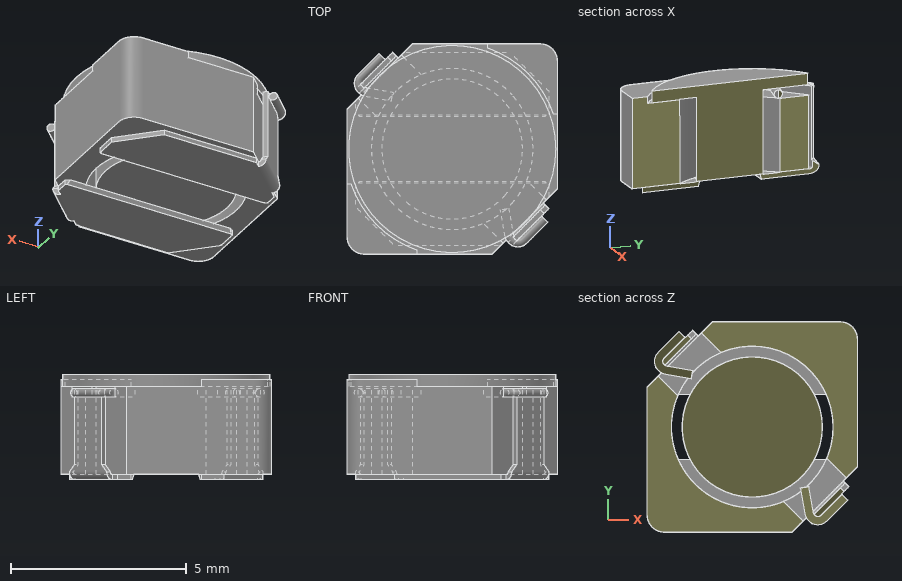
import cadquery as cq
import math

height = 3.0
foot_thickness = 0.15
housing_top = 2.85
disc_seat = 2.65

housing_width = 6.0
flat_to_flat = 5.85
flat_distance = flat_to_flat / 2
corner_radius = 0.5
raised_corner_start = 1.0
raised_corner_bore = 6.1
housing_bore = 4.6

disc_diameter = 5.9
post_diameter = 4.0

wire_diameter = 0.25
wire_bend_radius = 0.225
wire_run_end = 0.45
wire_leg_offset = 0.63
wire_leg_length = 0.04
wire_inner_angle = math.radians(35)
wire_inner_length = 0.75

window_width = 1.74
window_height = 0.3
window_depth = flat_distance - housing_bore / 2 * math.cos(math.asin(window_width / housing_bore))
window_floor = disc_seat - window_height

strip_thickness = 0.15
strip_width = 1.1
strip_base_width = 1.5
strip_taper_height = 0.2
bend_inner_radius = 0.075
bend_outer_radius = bend_inner_radius + strip_thickness
strip_inner = flat_distance + bend_inner_radius
strip_outer = flat_distance + bend_outer_radius
strip_overlap = 0.5
strip_root = flat_distance - strip_overlap
foot_half_width = 2.75
foot_corner_chamfer = 1.1
foot_inner_edge = 0.92
foot_edge_slope = 0.045
foot_nick_width = 0.08
foot_nick_angle = 33

wire_height = window_floor + wire_diameter / 2
strip_top = wire_height + wire_diameter / 2

flat_corner_angle = 45

origin = (0, 0, 0)
z_axis = (0, 0, 1)


def turn(body, angle):
    return body.rotate(origin, z_axis, angle)


def flat_corner_slab(bottom, thickness):
    """Long slab, as wide as the distance between the two flat corners."""
    slab = cq.Workplane("XY", origin=(0, 0, bottom)).rect(2 * housing_width, flat_to_flat).extrude(thickness)
    return turn(slab, flat_corner_angle)


def make_housing():
    body_height = housing_top - foot_thickness
    block = cq.Workplane("XY", origin=(0, 0, foot_thickness)).rect(housing_width, housing_width)
    block = block.extrude(body_height)
    block = block.edges(">(1, 1, 0) or <(1, 1, 0)").fillet(corner_radius)
    block = block.intersect(flat_corner_slab(foot_thickness, body_height))

    block = block.cut(cq.Workplane("XY").circle(housing_bore / 2).extrude(height))

    step = housing_top - disc_seat
    seat = cq.Workplane("XY", origin=(0, 0, disc_seat))
    raised_width = housing_width / 2 - raised_corner_start
    raised_center = raised_corner_start + raised_width / 2
    raised_corners = seat.pushPoints([(raised_center, raised_center), (-raised_center, -raised_center)])
    raised_corners = raised_corners.rect(raised_width, raised_width).extrude(step)
    lowered = seat.rect(housing_width, housing_width).extrude(step).cut(raised_corners)
    lowered = lowered.union(seat.circle(raised_corner_bore / 2).extrude(step))
    block = block.cut(lowered)

    window_center = flat_distance - window_depth / 2
    windows = cq.Workplane("XY", origin=(0, 0, window_floor))
    windows = windows.pushPoints([(0, window_center), (0, -window_center)])
    windows = windows.rect(window_width, window_depth).extrude(window_height)
    return block.cut(turn(windows, flat_corner_angle))


def make_core():
    disc = cq.Workplane("XY", origin=(0, 0, disc_seat)).circle(disc_diameter / 2)
    disc = disc.extrude(height - disc_seat)
    post = cq.Workplane("XY", origin=(0, 0, foot_thickness)).circle(post_diameter / 2)
    return disc.union(post.extrude(disc_seat - foot_thickness))


def make_wire():
    """Lead at the (-X, +Y) corner: along the strip, around its edge and into the window."""
    run_distance = strip_outer + wire_diameter / 2
    bend_x = wire_bend_radius - wire_leg_offset
    outer_bend_y = run_distance - wire_bend_radius
    inner_bend_y = outer_bend_y - wire_leg_length
    half_chord = wire_bend_radius * math.sqrt(0.5)

    def inner_bend_point(angle):
        x = bend_x - wire_bend_radius * math.cos(angle)
        y = inner_bend_y - wire_bend_radius * math.sin(angle)
        return (x, y)

    bend_end_x, bend_end_y = inner_bend_point(wire_inner_angle)
    inner_end = (
        bend_end_x + wire_inner_length * math.sin(wire_inner_angle),
        bend_end_y - wire_inner_length * math.cos(wire_inner_angle),
    )
    path = (
        cq.Workplane("XY", origin=(0, 0, wire_height))
        .moveTo(wire_run_end, run_distance)
        .lineTo(bend_x, run_distance)
        .threePointArc((bend_x - half_chord, outer_bend_y + half_chord), (-wire_leg_offset, outer_bend_y))
        .lineTo(-wire_leg_offset, inner_bend_y)
        .threePointArc(inner_bend_point(wire_inner_angle / 2), (bend_end_x, bend_end_y))
        .lineTo(*inner_end)
    )
    section = cq.Workplane("YZ", origin=(wire_run_end, run_distance, wire_height))
    wire = section.circle(wire_diameter / 2).sweep(path)
    return turn(wire, flat_corner_angle)


def make_foot():
    """Plate under the +Y half of the housing."""
    nick_length = foot_nick_width / math.tan(math.radians(foot_nick_angle))
    nick_y = foot_inner_edge + foot_nick_width
    outline = [
        (-foot_half_width, nick_y),
        (-foot_half_width + nick_length, foot_inner_edge),
        (foot_half_width - nick_length, foot_inner_edge),
        (foot_half_width, nick_y),
        (foot_half_width, foot_half_width - foot_corner_chamfer),
        (foot_half_width - foot_corner_chamfer, foot_half_width),
        (-foot_half_width, foot_half_width),
    ]
    foot = cq.Workplane("XY").polyline(outline).close().extrude(foot_thickness)
    foot = foot.intersect(flat_corner_slab(0, foot_thickness))

    lean = (
        cq.Workplane("YZ", origin=(-foot_half_width, 0, 0))
        .moveTo(foot_inner_edge, foot_thickness)
        .lineTo(foot_inner_edge, 0)
        .lineTo(foot_inner_edge + foot_edge_slope, 0)
        .close()
        .extrude(2 * foot_half_width)
    )
    return foot.cut(lean)


def make_strip():
    """Strip at the (-X, +Y) corner: bent up from the foot and narrowed above the bend."""
    diagonal = math.sqrt(0.5)
    profile = (
        cq.Workplane("YZ", origin=(-strip_base_width / 2, 0, 0))
        .moveTo(strip_root, 0)
        .lineTo(flat_distance, 0)
        .threePointArc(
            (flat_distance + bend_outer_radius * diagonal, bend_outer_radius * (1 - diagonal)),
            (strip_outer, bend_outer_radius),
        )
        .lineTo(strip_outer, strip_top)
        .lineTo(strip_inner, strip_top)
        .lineTo(strip_inner, bend_outer_radius)
        .threePointArc(
            (flat_distance + bend_inner_radius * diagonal, bend_outer_radius - bend_inner_radius * diagonal),
            (flat_distance, foot_thickness),
        )
        .lineTo(strip_root, foot_thickness)
        .close()
        .extrude(strip_base_width)
    )
    taper_top = bend_outer_radius + strip_taper_height
    outline = [
        (-strip_base_width / 2, 0),
        (strip_base_width / 2, 0),
        (strip_base_width / 2, bend_outer_radius),
        (strip_width / 2, taper_top),
        (strip_width / 2, strip_top),
        (-strip_width / 2, strip_top),
        (-strip_width / 2, taper_top),
        (-strip_base_width / 2, bend_outer_radius),
    ]
    face = cq.Workplane("XZ", origin=(0, strip_outer, 0)).polyline(outline).close()
    return turn(profile.intersect(face.extrude(strip_outer)), flat_corner_angle)


housing = make_housing()
core = make_core()

wire = make_wire()
wires = [wire, turn(turn(wire, -flat_corner_angle).mirror("XZ"), flat_corner_angle)]

terminal = make_foot().union(make_strip())
terminals = []
for angle, lead in zip((0, 180), wires):
    terminals.append(turn(terminal, angle).cut(lead))

bodies = [housing, core, *wires, *terminals]
result = cq.Compound.makeCompound([solid for body in bodies for solid in body.solids().vals()])